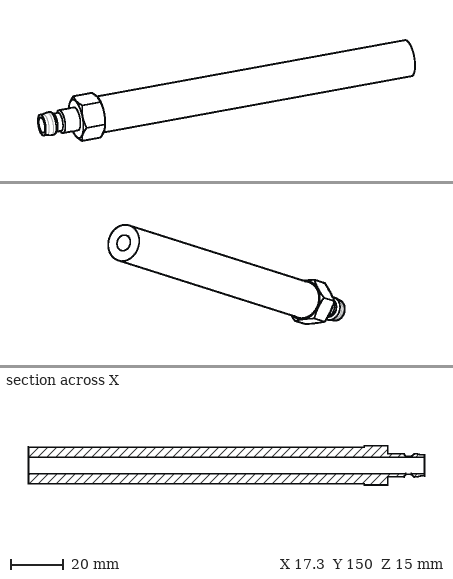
import cadquery as cq
import math

total_length = 150.0
hex_start = 14.0
hex_end = 23.0

tube_diameter = 14.0
shank_diameter = 8.8
neck_diameter = 7.0
tip_diameter = 8.1
bore_diameter = 6.0

hex_across_flats = 15.0
hex_across_corners = hex_across_flats / math.cos(math.pi / 6)
hex_face_diameter = 14.7
hex_chamfer_angle = math.radians(30)

tip_land_end = 1.2
collar_start = 2.8
collar_end = 4.0
neck_start = 5.1
neck_end = 7.2
shank_start = 7.8


def cylinder(diameter, start, end):
    """Solid cylinder on the Y axis between two stations."""
    return revolve_profile([(diameter / 2, start), (diameter / 2, end)])


def revolve_profile(profile):
    """Revolve (radius, station) points, closed along the Y axis."""
    points = [(0, profile[0][1])] + profile + [(0, profile[-1][1])]
    return cq.Workplane("XY").polyline(points).close().revolve(360, (0, 0, 0), (0, 1, 0))


def make_nozzle():
    """Shank with a groove behind the tapered collar at its tip."""
    return revolve_profile([
        (tip_diameter / 2, 0),
        (tip_diameter / 2, tip_land_end),
        (shank_diameter / 2, collar_start),
        (shank_diameter / 2, collar_end),
        (neck_diameter / 2, neck_start),
        (neck_diameter / 2, neck_end),
        (shank_diameter / 2, shank_start),
        (shank_diameter / 2, hex_start),
    ])


def make_hexagon():
    """Hexagon with corners on X, chamfered conically at both ends."""
    prism = (
        cq.Workplane("XZ", origin=(0, hex_start, 0))
        .polygon(6, hex_across_corners)
        .extrude(hex_start - hex_end)
    )
    face_radius = hex_face_diameter / 2
    corner_radius = hex_across_corners / 2
    chamfer_length = (corner_radius - face_radius) * math.tan(hex_chamfer_angle)
    envelope = revolve_profile([
        (face_radius, hex_start),
        (corner_radius, hex_start + chamfer_length),
        (corner_radius, hex_end - chamfer_length),
        (face_radius, hex_end),
    ])
    return prism.intersect(envelope)


tube = cylinder(tube_diameter, hex_end, total_length)
bore = cylinder(bore_diameter, 0, total_length)
result = make_nozzle().union(make_hexagon()).union(tube).cut(bore)